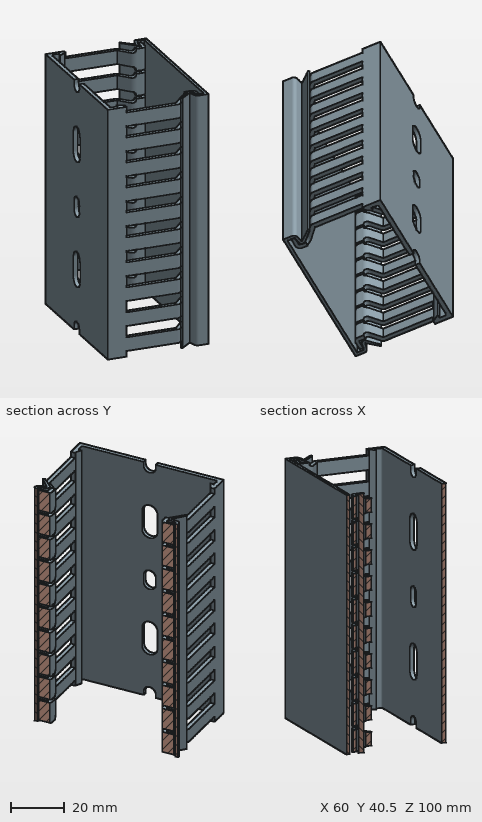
import cadquery as cq
import math

WIDTH = 60.0
DEPTH = 40.5
LENGTH = 100.0
SIDE = -WIDTH / 2

WALL = 1.8
BASE_CORNER_RADIUS = 0.6
BARB_REACH = 1.4
BARB_TOP = 7.1
BARB_BOTTOM = 4.7
BEND_HEIGHT = 28.1
LEAN_ANGLE = 41.0
HOOK_INSET = 7.0
KNEE_RADIUS = 3.0
HOOK_TOP = 37.9
HOOK_THICKNESS = 1.5
HOOK_CORNER_RADIUS = 1.8
HOOK_END_INSET = 1.7

SLOT_PITCH = 10.0
SLOT_WIDTH = 4.5
SLOT_BOTTOM = 7.5
SLOT_TOP = 33.7
SLOT_CORNER_RADIUS = 1.6
SLIT_WIDTH = 1.2

LARGE_HOLE = (6.4, 14.0)
LARGE_HOLE_OFFSET = 25.0
SMALL_HOLE = (5.0, 8.0)

COVER_WALL = 1.3
LIP_BEND_HEIGHT = 36.7
LIP_BEND_RADIUS = 1.5
LIP_THICKNESS = 1.2
LIP_ANGLE = 13.0
PINCH_INSET = 3.9
TAIL_HEIGHT = 30.1
TIP_RADIUS = 0.5
INNER_FLANK_ANGLE = -43.0


def polar(center, radius, angle):
    """Point at a radius and an angle in degrees from a center."""
    turn = math.radians(angle)
    return (center[0] + radius * math.cos(turn), center[1] + radius * math.sin(turn))


def arc_about(sketch, center, radius, start, end):
    """Draw a line to an arc's start angle, then the arc to its end angle."""
    sketch = sketch.lineTo(*polar(center, radius, start))
    return sketch.threePointArc(polar(center, radius, (start + end) / 2), polar(center, radius, end))


def extrude_both_halves(left_half):
    """Extrude the left half of a section over the whole length and add its mirror image."""
    left = left_half.close().extrude(LENGTH)
    return left.union(left.mirror("YZ")).clean()


def duct_body():
    inner_face = SIDE + WALL
    hook_inner = SIDE + HOOK_INSET
    hook_underside = HOOK_TOP - HOOK_THICKNESS
    hook_end = SIDE + HOOK_END_INSET
    outward = LEAN_ANGLE + 90

    bend = (inner_face, BEND_HEIGHT)
    knee_x = hook_inner - KNEE_RADIUS
    inner_start = polar(bend, KNEE_RADIUS, outward)
    knee = (knee_x, inner_start[1] + (knee_x - inner_start[0]) * math.tan(math.radians(LEAN_ANGLE)))
    hook_corner = (hook_inner - HOOK_CORNER_RADIUS, HOOK_TOP - HOOK_CORNER_RADIUS)
    base_corner = (inner_face + BASE_CORNER_RADIUS, WALL + BASE_CORNER_RADIUS)

    section = cq.Workplane("XY").moveTo(0, 0).lineTo(SIDE, 0)
    section = arc_about(section, bend, WALL, 180, outward)
    section = arc_about(section, knee, KNEE_RADIUS - WALL, outward - 180, 0)
    section = section.lineTo(hook_inner - WALL, hook_underside)
    section = section.lineTo(hook_end, hook_underside).lineTo(hook_end, HOOK_TOP)
    section = arc_about(section, hook_corner, HOOK_CORNER_RADIUS, 90, 0)
    section = arc_about(section, knee, KNEE_RADIUS, 0, outward - 180)
    section = section.lineTo(*bend).lineTo(inner_face, BARB_TOP)
    section = section.lineTo(inner_face + BARB_REACH, BARB_BOTTOM).lineTo(inner_face, BARB_BOTTOM)
    section = arc_about(section, base_corner, BASE_CORNER_RADIUS, 180, 270)
    section = section.lineTo(0, WALL)

    duct = extrude_both_halves(section)
    for index in range(round(LENGTH / SLOT_PITCH) + 1):
        duct = duct.cut(finger_slot(index * SLOT_PITCH))
    return duct.cut(mounting_holes())


def finger_slot(z):
    """Cutter through both side walls: a slot with rounded top corners and a slit through the hooks."""
    slot = (
        cq.Workplane("XY")
        .box(WIDTH, SLOT_TOP - SLOT_BOTTOM, SLOT_WIDTH)
        .edges("|X and >Y")
        .fillet(SLOT_CORNER_RADIUS)
        .translate((0, (SLOT_TOP + SLOT_BOTTOM) / 2, z))
    )
    slit = cq.Workplane("XY").box(WIDTH, DEPTH - SLOT_BOTTOM, SLIT_WIDTH)
    return slot.union(slit.translate((0, (DEPTH + SLOT_BOTTOM) / 2, z)))


def base_hole(size, z):
    """Round-ended hole cutter through the base, long along Z."""
    width, length = size
    hole = cq.Workplane("XZ").center(0, z).slot2D(length, width, 90)
    return hole.extrude(-WALL)


def mounting_holes():
    """Two large holes, a small one at mid-length, and half a small one at each end."""
    middle = LENGTH / 2
    holes = base_hole(SMALL_HOLE, middle)
    for z in (0, LENGTH):
        holes = holes.union(base_hole(SMALL_HOLE, z))
    for z in (middle - LARGE_HOLE_OFFSET, middle + LARGE_HOLE_OFFSET):
        holes = holes.union(base_hole(LARGE_HOLE, z))
    return holes


def cover_body():
    inner_face = SIDE + COVER_WALL
    lip_slope = math.tan(math.radians(LIP_ANGLE))
    lip_down = 270 - LIP_ANGLE
    lip_up = 90 - LIP_ANGLE

    lip_bend = (SIDE + LIP_BEND_RADIUS, LIP_BEND_HEIGHT)
    lip_start = polar(lip_bend, LIP_BEND_RADIUS, lip_down)
    pinch_x = SIDE + PINCH_INSET
    pinch = (pinch_x, lip_start[1] - (pinch_x - lip_start[0]) * lip_slope)
    lip_top_end = polar(pinch, LIP_THICKNESS, lip_up)
    lip_top_start = (inner_face, lip_top_end[1] + (lip_top_end[0] - inner_face) * lip_slope)
    tip = (SIDE + TIP_RADIUS, TAIL_HEIGHT)

    section = cq.Workplane("XY").moveTo(0, DEPTH).lineTo(SIDE, DEPTH)
    section = arc_about(section, lip_bend, LIP_BEND_RADIUS, 180, lip_down)
    section = section.lineTo(*pinch)
    section = arc_about(section, tip, TIP_RADIUS, 180, INNER_FLANK_ANGLE + 360)
    section = arc_about(section, pinch, LIP_THICKNESS, INNER_FLANK_ANGLE, lip_up)
    section = section.lineTo(*lip_top_start)
    section = section.lineTo(inner_face, DEPTH - COVER_WALL).lineTo(0, DEPTH - COVER_WALL)
    return extrude_both_halves(section)


duct = duct_body()
cover = cover_body()

result = cq.Compound.makeCompound([duct.solids().val(), cover.solids().val()])